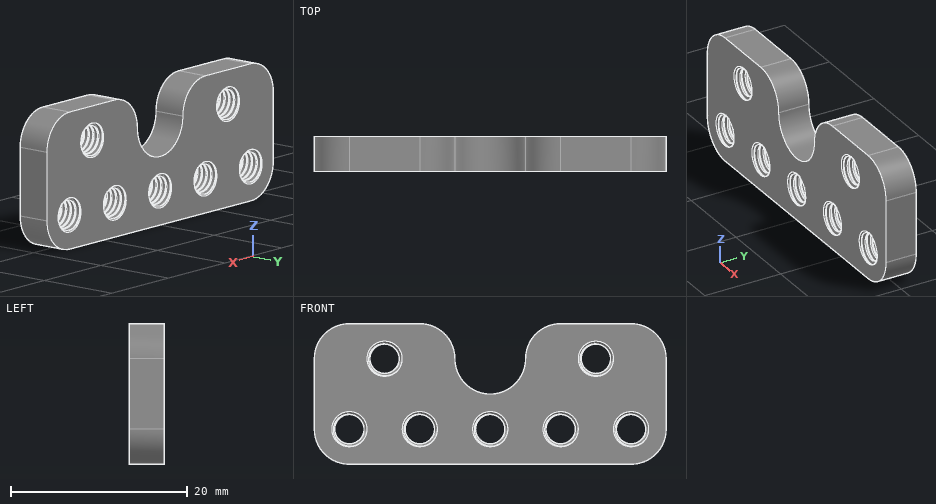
import cadquery as cq
import math

length = 40.0
thickness = 4.0
height = 16.0
corner_radius = 4.0

notch_radius = 4.0
notch_depth = 2 * notch_radius

hole_pitch = 8.0
bottom_hole_count = 5
bottom_row_z = hole_pitch / 2
top_row_z = bottom_row_z + hole_pitch
top_hole_offset = 1.5 * hole_pitch

thread_diameter = 4.0
thread_pitch = 0.7
thread_flank_angle = math.radians(30)
bore_diameter = 3.3
root_radius = thread_diameter / 2
bore_radius = bore_diameter / 2
thread_depth = root_radius - bore_radius
groove_root_width = thread_pitch / 8
groove_overlap = 0.05
thread_phase = 95.0
groove_overrun = thread_pitch


def make_plate():
    """Rounded plate with the notch in the middle of its top edge."""
    half = length / 2
    notch_floor_z = height - notch_depth
    arc_z = height - notch_radius
    flare_x = 2 * notch_radius
    outline = (
        cq.Workplane("XZ", origin=(0, thickness / 2, 0))
        .moveTo(-half + corner_radius, 0)
        .lineTo(half - corner_radius, 0)
        .radiusArc((half, corner_radius), -corner_radius)
        .lineTo(half, height - corner_radius)
        .radiusArc((half - corner_radius, height), -corner_radius)
        .lineTo(flare_x, height)
        .radiusArc((notch_radius, arc_z), -notch_radius)
        .threePointArc((0, notch_floor_z), (-notch_radius, arc_z))
        .radiusArc((-flare_x, height), -notch_radius)
        .lineTo(-half + corner_radius, height)
        .radiusArc((-half, height - corner_radius), -corner_radius)
        .lineTo(-half, corner_radius)
        .radiusArc((-half + corner_radius, 0), -corner_radius)
        .close()
    )
    return outline.extrude(thickness)


def make_thread_groove():
    """Helical V groove around Z, running past both faces of the plate."""
    groove_length = thickness + 2 * groove_overrun
    start_z = -groove_length / 2
    inner_radius = bore_radius - groove_overlap
    root_half_width = groove_root_width / 2
    inner_half_width = root_half_width + (root_radius - inner_radius) * math.tan(thread_flank_angle)

    helix = cq.Wire.makeHelix(thread_pitch, groove_length, bore_radius, center=cq.Vector(0, 0, start_z))
    profile = (
        cq.Workplane("XZ", origin=(0, 0, start_z))
        .moveTo(inner_radius, -inner_half_width)
        .lineTo(root_radius, -root_half_width)
        .lineTo(root_radius, root_half_width)
        .lineTo(inner_radius, inner_half_width)
        .close()
    )
    return profile.sweep(cq.Workplane(obj=helix), isFrenet=True)


def make_bore():
    """Plain bore around Z with a 45 degree countersink to the thread diameter at each face."""
    half = thickness / 2
    countersink_z = half - thread_depth
    return (
        cq.Workplane("XZ")
        .moveTo(0, -half)
        .lineTo(root_radius, -half)
        .lineTo(bore_radius, -countersink_z)
        .lineTo(bore_radius, countersink_z)
        .lineTo(root_radius, half)
        .lineTo(0, half)
        .close()
        .revolve(360, (0, 0, 0), (0, 1, 0))
    )


def make_thread_cutter():
    """Threaded hole shape lying along Y, limited to the plate thickness."""
    slab = cq.Workplane("XY").box(2 * thread_diameter, 2 * thread_diameter, thickness)
    groove = make_thread_groove().intersect(slab)
    cutter = make_bore().union(groove)
    turned = cutter.rotate((0, 0, 0), (0, 0, 1), thread_phase)
    return turned.rotate((0, 0, 0), (1, 0, 0), 90)


def hole_positions():
    """X and Z of every threaded hole."""
    first_x = -hole_pitch * (bottom_hole_count - 1) / 2
    bottom_row = [(first_x + i * hole_pitch, bottom_row_z) for i in range(bottom_hole_count)]
    top_row = [(side * top_hole_offset, top_row_z) for side in (-1, 1)]
    return bottom_row + top_row


plate = make_plate()
thread_cutter = make_thread_cutter()
for x, z in hole_positions():
    plate = plate.cut(thread_cutter.translate((x, 0, z)))
result = cq.Workplane(obj=plate.solids().val())